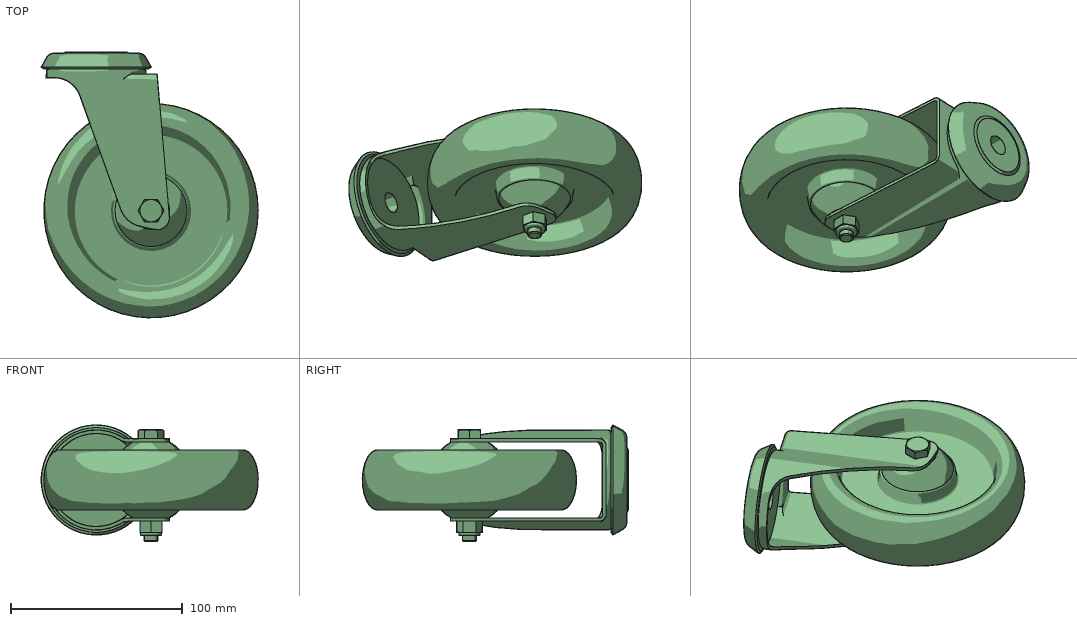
import cadquery as cq
import math


WHEEL_RADIUS = 62.5
WHEEL_HALF_WIDTH = 17.5
CREST_RADIUS = 53.5
FLANK_RADIUS = 7.3
RIM_DRAFT = math.radians(12)
WEB_HALF_THICKNESS = 2.6
HUB_FOOT_RADIUS = 23.2
HUB_TOP_RADIUS = 21.9
HUB_HALF_WIDTH = 10.5
HUB_EDGE_FILLET = 0.8
WEB_FILLET = 1.1

DOME_BASE_RADIUS = 20.9
DOME_SPHERE_RADIUS = 22.5

SWIVEL_X = -32.0
SHEET = 2.0
HEAD_RADIUS = 29.1
LEG_OUTER_Z = 24.0
LEG_INNER_Z = LEG_OUTER_Z - SHEET
NECK_RADIUS = 9.0
BRIDGE_TOP_Y = 79.7
BRIDGE_BEND = 4.2
HEAD_TOP_Y = 82.6
HEAD_EDGE_FILLET = 2.0
FRONT_RIM_Y = 77.3
BLANK_BOTTOM_Y = -18.6
BLANK_END_X = 23.2
BLANK_TOP_Y = 93.0
BLANK_START_X = -69.7

BOSS_TOP_Y = 92.5
BOSS_TOP_RADIUS = 17.4
BOSS_RADIUS = 19.2
SWIVEL_HOLE_RADIUS = 6.0

NOTCH_CORNER = (-45.3, FRONT_RIM_Y)
HEEL_CORNER = (-14.7, -7.3)
TOE_CORNER = (11.5, -13.0)
LEG_BACK_TOP_X = 3.5
NOTCH_FILLET = 15.5
HEEL_FILLET = 15.5
TOE_FILLET = 7.1

CAP_FACE_Y = 91.7
CAP_BREAK_Y = 89.1
CAP_LIP_Y = 83.5
CAP_FACE_RADIUS = 24.8
CAP_BREAK_RADIUS = 29.0
CAP_LIP_RADIUS = 32.1
CAP_BOTTOM_RADIUS = 30.5
CAP_ROUND_MID = (27.5, 90.8)

HEX_FLATS = 13.0
HEX_CORNERS = HEX_FLATS / math.cos(math.pi / 6)
BOLT_RADIUS = 4.0
BOLT_HEAD_TOP_Z = 29.3
BOLT_END_Z = -36.0
BOLT_END_CHAMFER = 0.6
HEAD_CONE_RISE = 0.6
QUARTER_TURN = 90
NUT_END_Z = -30.5
NUT_COLLAR_RADIUS = 6.2
NUT_COLLAR_END_Z = -32.4
NUT_COLLAR_FILLET = 0.8


def drill_for_bolt(body):
    """Bore the body along the axle so that the bolt shank fits it exactly."""
    bore = cq.Workplane("XY").circle(BOLT_RADIUS).extrude(2 * LEG_OUTER_Z, both=True)
    return body.cut(bore)


def hex_prism(start_z, end_z, turn):
    """Hexagonal prism on the axle; a turn of 0 puts two corners on the X axis."""
    return (
        cq.Workplane("XY", origin=(0, 0, start_z))
        .transformed(rotate=(0, 0, turn))
        .polygon(6, HEX_CORNERS)
        .extrude(end_z - start_z)
    )


def arc_point(centre, radius, angle):
    return (centre[0] + radius * math.cos(angle), centre[1] + radius * math.sin(angle))


def wheel_dish():
    """Ring-shaped recess in the upper side of the wheel, from the hub to the rounded flank."""
    flank_centre = (CREST_RADIUS, WHEEL_HALF_WIDTH - FLANK_RADIUS)
    flank_end_angle = math.pi - RIM_DRAFT
    flank_mid_angle = (math.pi / 2 + flank_end_angle) / 2
    flank_end = arc_point(flank_centre, FLANK_RADIUS, flank_end_angle)
    rim_foot_r = flank_end[0] - (flank_end[1] - WEB_HALF_THICKNESS) * math.tan(RIM_DRAFT)
    dish = (
        cq.Workplane("XZ")
        .moveTo(0, WHEEL_HALF_WIDTH)
        .lineTo(0, HUB_HALF_WIDTH)
        .lineTo(HUB_TOP_RADIUS, HUB_HALF_WIDTH)
        .lineTo(HUB_FOOT_RADIUS, WEB_HALF_THICKNESS)
        .lineTo(rim_foot_r, WEB_HALF_THICKNESS)
        .lineTo(*flank_end)
        .threePointArc(
            arc_point(flank_centre, FLANK_RADIUS, flank_mid_angle),
            (CREST_RADIUS, WHEEL_HALF_WIDTH),
        )
        .close()
        .revolve(360, (0, 0, 0), (0, 1, 0))
    )
    dish = dish.faces("<Z").edges().fillet(WEB_FILLET)
    return dish.edges(cq.NearestToPointSelector((0, 0, HUB_HALF_WIDTH))).fillet(HUB_EDGE_FILLET)


def make_wheel():
    """Solid wheel with a half-elliptical tread, dished on both sides."""
    blank = (
        cq.Workplane("XZ")
        .moveTo(0, -WHEEL_HALF_WIDTH)
        .lineTo(CREST_RADIUS, -WHEEL_HALF_WIDTH)
        .ellipseArc(WHEEL_RADIUS - CREST_RADIUS, WHEEL_HALF_WIDTH, -90, 90)
        .lineTo(0, WHEEL_HALF_WIDTH)
        .close()
        .revolve(360, (0, 0, 0), (0, 1, 0))
    )
    dish = wheel_dish()
    return drill_for_bolt(blank.cut(dish).cut(dish.mirror("XY")))


def make_dome(side):
    """Spherical cap from the hub face to the fork leg, flat where the leg rests on it."""
    sphere_z = HUB_HALF_WIDTH - math.sqrt(DOME_SPHERE_RADIUS**2 - DOME_BASE_RADIUS**2)
    height = LEG_INNER_Z - HUB_HALF_WIDTH
    sphere = cq.Workplane("XY", origin=(0, 0, sphere_z)).sphere(DOME_SPHERE_RADIUS)
    slice_between = (
        cq.Workplane("XY", origin=(0, 0, HUB_HALF_WIDTH)).circle(DOME_SPHERE_RADIUS).extrude(height)
    )
    dome = drill_for_bolt(sphere.intersect(slice_between))
    if side < 0:
        dome = dome.mirror("XY")
    return dome


def channel(inset):
    """Fork blank with flat legs and a round head, moved inwards from the outer faces by inset."""
    head_r = HEAD_RADIUS - inset
    leg_z = LEG_OUTER_Z - inset
    neck_r = NECK_RADIUS + inset

    neck_z = leg_z + neck_r
    neck_dx = math.sqrt((head_r + neck_r) ** 2 - neck_z**2)
    neck_x = SWIVEL_X + neck_dx
    lean = math.atan2(neck_z, neck_dx)
    head_end = arc_point((SWIVEL_X, 0), head_r, lean)
    neck_mid = arc_point((neck_x, neck_z), neck_r, -math.pi / 2 - (math.pi / 2 - lean) / 2)

    top_y = BRIDGE_TOP_Y - inset
    legs = (
        cq.Workplane("XZ", origin=(0, top_y, 0))
        .moveTo(BLANK_END_X, leg_z)
        .lineTo(neck_x, leg_z)
        .threePointArc(neck_mid, head_end)
        .threePointArc((SWIVEL_X - head_r, 0), (head_end[0], -head_end[1]))
        .threePointArc((neck_mid[0], -neck_mid[1]), (neck_x, -leg_z))
        .lineTo(BLANK_END_X, -leg_z)
        .close()
        .extrude(top_y - BLANK_BOTTOM_Y)
        .faces(">Y")
        .edges("not >X")
        .fillet(BRIDGE_BEND - inset)
    )
    head_top_y = HEAD_TOP_Y - inset
    head = (
        cq.Workplane("XZ", origin=(SWIVEL_X, head_top_y, 0))
        .circle(head_r)
        .extrude(head_top_y - BLANK_BOTTOM_Y)
    )
    if inset == 0:
        head = head.faces(">Y").edges().fillet(HEAD_EDGE_FILLET)
    return legs.union(head)


def bridge_flare():
    """Rounding of the inner edge where the head recess opens onto the underside of the bridge."""
    recess_r = HEAD_RADIUS - SHEET
    underside_y = BRIDGE_TOP_Y - SHEET
    bend = BRIDGE_BEND - SHEET
    ring = (
        cq.Workplane("XY", origin=(SWIVEL_X, 0, 0))
        .moveTo(recess_r + bend, underside_y)
        .threePointArc(
            arc_point((recess_r + bend, underside_y + bend), bend, 5 * math.pi / 4),
            (recess_r, underside_y + bend),
        )
        .lineTo(recess_r, underside_y)
        .close()
        .revolve(360, (0, 0, 0), (0, 1, 0))
    )
    flat_half_width = LEG_OUTER_Z - BRIDGE_BEND
    flat_zone = (
        cq.Workplane("YZ", origin=(SWIVEL_X, underside_y, 0))
        .rect(2 * BRIDGE_BEND, 2 * flat_half_width)
        .extrude(HEAD_RADIUS + BRIDGE_BEND)
    )
    return ring.intersect(flat_zone)


def swivel_boss():
    """Chamfered boss on the fork head that passes through the dust cap."""
    return (
        cq.Workplane("XY", origin=(SWIVEL_X, 0, 0))
        .moveTo(0, HEAD_TOP_Y - SHEET)
        .lineTo(BOSS_RADIUS, HEAD_TOP_Y - SHEET)
        .lineTo(BOSS_RADIUS, CAP_FACE_Y)
        .lineTo(BOSS_TOP_RADIUS, BOSS_TOP_Y)
        .lineTo(0, BOSS_TOP_Y)
        .close()
        .revolve(360, (0, 0, 0), (0, 1, 0))
    )


def leg_outline():
    """Side outline of the fork, as a prism through its whole width."""
    slant = (TOE_CORNER[0] - LEG_BACK_TOP_X) / (BRIDGE_TOP_Y - TOE_CORNER[1])
    back_top_x = LEG_BACK_TOP_X - slant * (BLANK_TOP_Y - BRIDGE_TOP_Y)
    prism = (
        cq.Workplane("XY")
        .polyline(
            [
                (BLANK_START_X, BLANK_TOP_Y),
                (BLANK_START_X, FRONT_RIM_Y),
                NOTCH_CORNER,
                HEEL_CORNER,
                TOE_CORNER,
                (back_top_x, BLANK_TOP_Y),
            ]
        )
        .close()
        .extrude(CAP_LIP_RADIUS, both=True)
    )
    for corner, radius in (
        (NOTCH_CORNER, NOTCH_FILLET),
        (HEEL_CORNER, HEEL_FILLET),
        (TOE_CORNER, TOE_FILLET),
    ):
        prism = prism.edges(cq.NearestToPointSelector((*corner, 0))).fillet(radius)
    return prism


def make_fork():
    """Sheet channel trimmed to the leg outline, with the swivel boss and both holes."""
    sheet = channel(0).cut(channel(SHEET)).cut(bridge_flare())
    swivel_hole = (
        cq.Workplane("XZ", origin=(SWIVEL_X, BOSS_TOP_Y, 0))
        .circle(SWIVEL_HOLE_RADIUS)
        .extrude(BOSS_TOP_Y)
    )
    fork = sheet.intersect(leg_outline()).union(swivel_boss()).cut(swivel_hole)
    return drill_for_bolt(fork)


def make_cap():
    """Revolved dust cap, seated on the fork head around the swivel boss."""
    return (
        cq.Workplane("XY", origin=(SWIVEL_X, 0, 0))
        .moveTo(BOSS_RADIUS, HEAD_TOP_Y)
        .lineTo(CAP_BOTTOM_RADIUS, HEAD_TOP_Y)
        .lineTo(CAP_LIP_RADIUS, CAP_LIP_Y)
        .lineTo(CAP_BREAK_RADIUS, CAP_BREAK_Y)
        .threePointArc(CAP_ROUND_MID, (CAP_FACE_RADIUS, CAP_FACE_Y))
        .lineTo(BOSS_RADIUS, CAP_FACE_Y)
        .close()
        .revolve(360, (0, 0, 0), (0, 1, 0))
    )


def make_bolt():
    """Hexagon bolt with trimmed head corners and a chamfered shank end."""
    cone = (
        cq.Workplane("XY", origin=(0, 0, LEG_OUTER_Z))
        .circle(HEX_CORNERS / 2)
        .extrude(BOLT_HEAD_TOP_Z - LEG_OUTER_Z)
        .faces(">Z")
        .edges()
        .chamfer(HEAD_CONE_RISE, (HEX_CORNERS - HEX_FLATS) / 2)
    )
    head = hex_prism(LEG_OUTER_Z, BOLT_HEAD_TOP_Z, 0).intersect(cone)
    shank = (
        cq.Workplane("XY", origin=(0, 0, BOLT_END_Z))
        .circle(BOLT_RADIUS)
        .extrude(LEG_OUTER_Z - BOLT_END_Z)
        .faces("<Z")
        .edges()
        .chamfer(BOLT_END_CHAMFER)
    )
    return head.union(shank)


def make_nut():
    """Lock nut: hexagon followed by a rounded collar."""
    collar = (
        cq.Workplane("XY", origin=(0, 0, NUT_COLLAR_END_Z))
        .circle(NUT_COLLAR_RADIUS)
        .extrude(NUT_END_Z - NUT_COLLAR_END_Z)
        .faces("<Z")
        .edges()
        .fillet(NUT_COLLAR_FILLET)
    )
    return drill_for_bolt(hex_prism(NUT_END_Z, -LEG_OUTER_Z, QUARTER_TURN).union(collar))


wheel = make_wheel()
domes = [make_dome(side) for side in (1, -1)]
fork = make_fork()
cap = make_cap()
bolt = make_bolt()
nut = make_nut()

result = cq.Compound.makeCompound(
    [wheel.val(), *[dome.val() for dome in domes], fork.val(), cap.val(), bolt.val(), nut.val()]
)